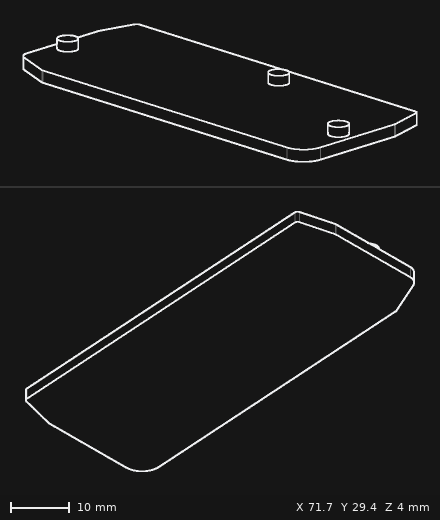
import cadquery as cq

length = 71.7
width = 29.4
total_height = 4.0
plate_thickness = 2.2

back_left_run = 1.9
back_left_drop = 7.3
back_right_run = 1.95
back_right_drop = 7.45
front_left_run = 8.45
front_left_rise = 3.2

small_corner_radius = 0.65
front_left_radius = 2.15
front_right_radius = 4.0

peg_diameter = 3.65
side_peg_inset = 3.1
side_peg_y = 11.5
back_peg_x = 41.6
back_peg_y = 23.95


def round_corner(body, x, y, radius):
    """Fillet the vertical plate edge at the given sharp corner."""
    corner = cq.selectors.NearestToPointSelector((x, y, plate_thickness / 2))
    return body.edges("|Z").edges(corner).fillet(radius)


def make_plate():
    outline = [
        (front_left_run, 0),
        (length, 0),
        (length, width - back_right_drop),
        (length - back_right_run, width),
        (back_left_run, width),
        (0, width - back_left_drop),
        (0, front_left_rise),
    ]
    plate = cq.Workplane("XY").polyline(outline).close().extrude(plate_thickness)
    plate = round_corner(plate, length, 0, front_right_radius)
    plate = round_corner(plate, 0, front_left_rise, front_left_radius)
    small_corners = [
        (front_left_run, 0),
        (length, width - back_right_drop),
        (length - back_right_run, width),
        (back_left_run, width),
        (0, width - back_left_drop),
    ]
    for x, y in small_corners:
        plate = round_corner(plate, x, y, small_corner_radius)
    return plate


def make_pegs():
    centers = [
        (side_peg_inset, side_peg_y),
        (length - side_peg_inset, side_peg_y),
        (back_peg_x, back_peg_y),
    ]
    return cq.Workplane("XY").pushPoints(centers).circle(peg_diameter / 2).extrude(total_height)


result = make_plate().union(make_pegs())